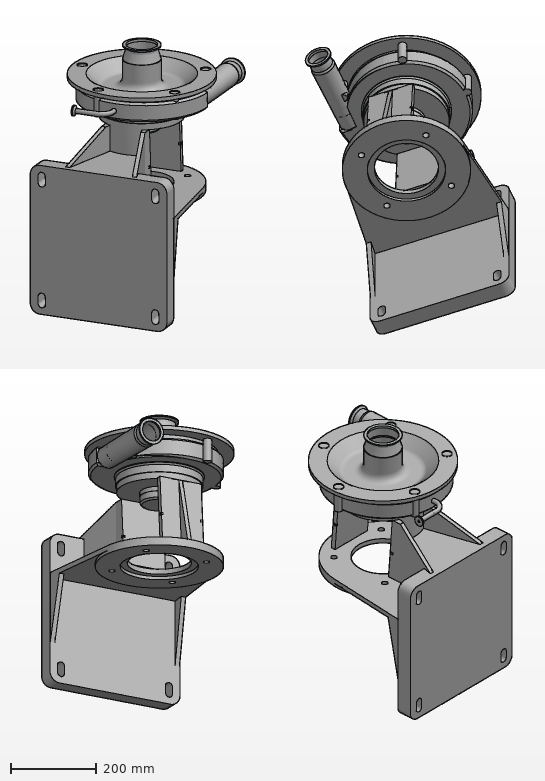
import cadquery as cq
import math


overall_width = 350.0

top_z = 610.5
flange_top_z = 538.5
flange_thickness = 10.0
flange_bottom_z = flange_top_z - flange_thickness
casing_top_z = 521.0
casing_bottom_z = 474.0
casing_chamfer = 5.5
port_z = 497.0
hub_bottom_z = 433.5
shelf_top_z = 270.5
stub_bottom_z = 403.0

flange_radius = overall_width / 2
cover_radius = 139.0
volute_start_radius = 137.0
volute_growth = 32.0
hub_radius = 102.5
hub_lower_radius = 100.0
hub_step_z = 449.5

bowl_radius = 130.5
bowl_lip = 2.5
bowl_floor_radius = 91.0
bowl_floor_z = 508.0
bowl_wall_angle = math.radians(42.2)
inlet_radius = 46.0
inlet_root_fillet = 20.0
inlet_neck_radius = 38.5
inlet_bore_radius = 37.0
inlet_wall = 2.0
inlet_floor_z = 488.5
reducer_bottom_z = 574.5
reducer_top_z = 597.0
bore_step_z = 583.5

bolt_count = 5
bolt_circle_radius = 152.5
bolt_radius = 10.5
bolt_hole_radius = 12.0
bolt_recess = 2.5

discharge_x = 140.0
discharge_end_y = 210.5
discharge_root_radius = 27.0
discharge_radius = 29.0
discharge_neck_radius = 27.0
discharge_ferrule_radius = 32.0
discharge_bore_radius = 24.5
discharge_bore_depth = 171.0

drain_radius = 6.0
drain_bore_radius = 3.0
drain_bore_depth = 49.0
drain_bend_radius = 28.0
drain_y = -196.5
drain_end_x = -88.5
drain_ferrule_radius = 13.0
drain_ferrule_thickness = 3.5
drain_ferrule_cone = 3.5

foot_height = 369.5
foot_front_y = -250.0
foot_thickness = 40.0
foot_back_y = foot_front_y + foot_thickness
foot_corner_radius = 25.0
slot_width = 18.5
slot_length = 36.0
slot_x = 145.0
slot_inset_z = 35.0
shelf_thickness = 12.0
shelf_radius = 150.0
shelf_end_half_width = 174.0
disc_thickness = 20.0
motor_hole_radius = 75.0
spigot_radius = 91.5
spigot_depth = 8.0
motor_bolt_offset = 81.0
motor_bolt_radius = 7.5
gusset_length = 36.0
gusset_foot_z = 99.0

lantern_half_width = 55.5
lantern_height = hub_bottom_z - shelf_top_z
front_wall_top_y = -81.0
back_wall_top_y = 89.0
wall_lean = 12.0
back_wall_thickness = 12.0
back_rib_foot_y = 143.5
rib_thickness = 10.5
rib_angle = math.radians(15.3)
rib_start_y = -107.0
rib_end_y = -235.5
notch_width = 8.0
notch_height = 5.0
notch_depth = 5.0
notch_z = 339.5


def cylinder(radius, bottom_z, upper_z, x=0.0, y=0.0):
    """Upright cylinder between two levels."""
    return cq.Workplane("XY", origin=(x, y, bottom_z)).circle(radius).extrude(upper_z - bottom_z)


def turned(points):
    """Solid of revolution about Z from (radius, z) points."""
    return cq.Workplane("XZ").polyline(points).close().revolve(360, (0, 0, 0), (0, 1, 0))


def prism_yz(points, half_width):
    """Prism along X, symmetric about the YZ plane."""
    return cq.Workplane("YZ").polyline(points).close().extrude(half_width, both=True)


def volute_point(turn):
    radius = volute_start_radius + volute_growth * turn
    angle = 2 * math.pi * turn
    return (radius * math.cos(angle), radius * math.sin(angle))


def make_volute():
    """Spiral body made of four arcs, growing counter-clockwise from +X."""
    outline = cq.Workplane("XY", origin=(0, 0, casing_bottom_z)).moveTo(*volute_point(0))
    for quarter in range(4):
        outline = outline.threePointArc(
            volute_point((quarter + 0.5) / 4), volute_point((quarter + 1) / 4)
        )
    body = outline.close().extrude(casing_top_z - casing_bottom_z)
    return body.faces("|Z").edges().chamfer(casing_chamfer)


def make_hub():
    """Stepped hub below the casing with the shaft stub under it."""
    collar_step = 3.0
    collar_height = 2.0
    collar_cone_height = 4.0
    collar_radius = hub_radius + collar_step
    collar_bottom_z = casing_bottom_z - collar_height
    collar_cone_z = collar_bottom_z - collar_cone_height
    stub_radius = 46.0
    stub_end_radius = 45.0
    stub_step_z = 422.5
    stub_chamfer = 4.0
    return turned([
        (0, casing_bottom_z + casing_chamfer),
        (collar_radius, casing_bottom_z + casing_chamfer),
        (collar_radius, collar_bottom_z),
        (hub_radius, collar_cone_z),
        (hub_radius, hub_step_z),
        (hub_lower_radius, hub_step_z),
        (hub_lower_radius, hub_bottom_z),
        (stub_radius, hub_bottom_z),
        (stub_radius, stub_step_z),
        (stub_end_radius, stub_step_z),
        (stub_end_radius, stub_bottom_z + stub_chamfer),
        (stub_end_radius - stub_chamfer, stub_bottom_z),
        (0, stub_bottom_z),
    ])


def make_bowl_cut():
    """Dished recess in the cover, leaving the inlet pipe standing in the middle."""
    lip_z = flange_top_z - bowl_lip
    cone_radius = bowl_radius - bowl_lip
    corner_radius = cone_radius - (lip_z - bowl_floor_z) / math.tan(bowl_wall_angle)
    tangent = corner_radius - bowl_floor_radius
    arc_radius = tangent / math.tan(bowl_wall_angle / 2)
    blend_end = (
        corner_radius + tangent * math.cos(bowl_wall_angle),
        bowl_floor_z + tangent * math.sin(bowl_wall_angle),
    )
    blend_mid = (
        bowl_floor_radius + arc_radius * math.sin(bowl_wall_angle / 2),
        bowl_floor_z + arc_radius * (1 - math.cos(bowl_wall_angle / 2)),
    )
    root_mid_offset = inlet_root_fillet * (1 - math.sqrt(0.5))
    profile = (
        cq.Workplane("XZ")
        .moveTo(inlet_radius, flange_top_z)
        .lineTo(inlet_radius, bowl_floor_z + inlet_root_fillet)
        .threePointArc(
            (inlet_radius + root_mid_offset, bowl_floor_z + root_mid_offset),
            (inlet_radius + inlet_root_fillet, bowl_floor_z),
        )
        .lineTo(bowl_floor_radius, bowl_floor_z)
        .threePointArc(blend_mid, blend_end)
        .lineTo(cone_radius, lip_z)
        .lineTo(bowl_radius, flange_top_z)
        .close()
    )
    return profile.revolve(360, (0, 0, 0), (0, 1, 0))


def make_inlet():
    """Inlet pipe above the flange: straight pipe, reducer, neck and clamp ferrule."""
    ferrule_radius = 45.0
    ferrule_rim = 3.0
    ferrule_bottom_z = 604.0
    return turned([
        (0, flange_bottom_z),
        (inlet_radius, flange_bottom_z),
        (inlet_radius, reducer_bottom_z),
        (inlet_neck_radius, reducer_top_z),
        (inlet_neck_radius, ferrule_bottom_z),
        (ferrule_radius, top_z - ferrule_rim),
        (ferrule_radius, top_z),
        (0, top_z),
    ])


def make_inlet_bore():
    """Blind bore that widens inside the reducer."""
    wide_radius = inlet_radius - inlet_wall
    return turned([
        (0, inlet_floor_z),
        (wide_radius, inlet_floor_z),
        (wide_radius, reducer_bottom_z),
        (inlet_bore_radius, bore_step_z),
        (inlet_bore_radius, top_z),
        (0, top_z),
    ])


def bolt_places():
    for index in range(bolt_count):
        angle = math.pi + 2 * math.pi * index / bolt_count
        yield (bolt_circle_radius * math.cos(angle), bolt_circle_radius * math.sin(angle))


def along_discharge(solid):
    """Place a solid turned about Z so that its Z runs along the discharge pipe."""
    return solid.rotate((0, 0, 0), (1, 0, 0), -90).translate((discharge_x, 0, port_z))


def make_discharge():
    """Slightly flared pipe with a stepped neck and a clamp ferrule."""
    ferrule_rim_y = 207.0
    ferrule_root_y = 202.5
    step_radius = 26.0
    step_outer_y = 198.0
    step_inner_y = 193.0
    neck_end_y = 184.5
    pipe_end_y = 178.0
    return along_discharge(turned([
        (0, 0),
        (discharge_root_radius, 0),
        (discharge_radius, pipe_end_y),
        (discharge_neck_radius, neck_end_y),
        (discharge_neck_radius, step_inner_y),
        (step_radius, step_outer_y),
        (step_radius, ferrule_root_y),
        (discharge_ferrule_radius, ferrule_rim_y),
        (discharge_ferrule_radius, discharge_end_y),
        (0, discharge_end_y),
    ]))


def make_discharge_bore():
    bore_start_y = discharge_end_y - discharge_bore_depth
    return along_discharge(cylinder(discharge_bore_radius, bore_start_y, discharge_end_y))


def make_drain():
    """Bent tube leaving the casing along -Y and turning to -X, with a small ferrule."""
    tube_start = (drain_end_x + drain_ferrule_thickness, drain_y)
    bend_start_x = -drain_bend_radius
    bend_end_y = drain_y + drain_bend_radius
    bend_middle = (
        bend_start_x + drain_bend_radius * math.sin(math.pi / 4),
        bend_end_y - drain_bend_radius * math.cos(math.pi / 4),
    )
    path = (
        cq.Workplane("XY", origin=(0, 0, port_z))
        .moveTo(*tube_start)
        .lineTo(bend_start_x, drain_y)
        .threePointArc(bend_middle, (0, bend_end_y))
        .lineTo(0, -volute_start_radius)
    )
    start = cq.Workplane("YZ", origin=(*tube_start, port_z))
    tube = start.circle(drain_radius).sweep(path)
    end = cq.Workplane("YZ", origin=(drain_end_x, drain_y, port_z))
    disc = end.circle(drain_ferrule_radius).extrude(drain_ferrule_thickness)
    cone = (
        start.circle(drain_ferrule_radius)
        .workplane(offset=drain_ferrule_cone)
        .circle(drain_radius)
        .loft(combine=True)
    )
    bore = end.circle(drain_bore_radius).extrude(drain_bore_depth)
    return tube.union(disc).union(cone).cut(bore)


side_angle = math.atan2(shelf_end_half_width, -foot_back_y) - math.asin(
    shelf_radius / math.hypot(shelf_end_half_width, foot_back_y)
)


def shelf_half_width(y):
    return shelf_end_half_width - math.tan(side_angle) * (y - foot_back_y)


def make_foot():
    """Upright plate with rounded corners and four vertical slots."""
    thickness_mid_y = foot_front_y + foot_thickness / 2
    plate = (
        cq.Workplane("XY")
        .box(overall_width, foot_thickness, foot_height)
        .edges("|Y")
        .fillet(foot_corner_radius)
        .translate((0, thickness_mid_y, foot_height / 2))
    )
    slot_z = foot_height / 2 - slot_inset_z
    slots = (
        cq.Workplane("XZ", origin=(0, foot_back_y, foot_height / 2))
        .pushPoints([(x, z) for x in (-slot_x, slot_x) for z in (-slot_z, slot_z)])
        .slot2D(slot_length, slot_width, 90)
        .extrude(foot_thickness)
    )
    return plate.cut(slots)


def make_shelf():
    """Tapered plate behind the foot, carrying the thicker motor disc."""
    tangent_x = shelf_radius * math.cos(side_angle)
    tangent_y = shelf_radius * math.sin(side_angle)
    plate = (
        cq.Workplane("XY", origin=(0, 0, shelf_top_z - shelf_thickness))
        .polyline([
            (-shelf_end_half_width, foot_back_y),
            (shelf_end_half_width, foot_back_y),
            (tangent_x, tangent_y),
            (-tangent_x, tangent_y),
        ])
        .close()
        .extrude(shelf_thickness)
    )
    return plate.union(cylinder(shelf_radius, shelf_top_z - disc_thickness, shelf_top_z))


def make_motor_holes():
    """Centre hole with a spigot recess below it, and four bolt holes around it."""
    bottom_z = shelf_top_z - disc_thickness
    holes = cylinder(motor_hole_radius, bottom_z, shelf_top_z)
    holes = holes.union(cylinder(spigot_radius, bottom_z, bottom_z + spigot_depth))
    for x in (-motor_bolt_offset, motor_bolt_offset):
        for y in (-motor_bolt_offset, motor_bolt_offset):
            holes = holes.union(cylinder(motor_bolt_radius, bottom_z, shelf_top_z, x, y))
    return holes


def make_gusset():
    """Triangular web under the +X side of the shelf, flush with its slanted side."""
    tip_y = foot_back_y + gusset_length
    height = shelf_top_z - gusset_foot_z
    strip = (
        cq.Workplane("XY", origin=(0, 0, gusset_foot_z))
        .polyline([
            (shelf_half_width(foot_back_y), foot_back_y),
            (shelf_half_width(tip_y), tip_y),
            (shelf_half_width(tip_y) - shelf_thickness, tip_y),
            (shelf_half_width(foot_back_y) - shelf_thickness, foot_back_y),
        ])
        .close()
        .extrude(height)
    )
    triangle = prism_yz([
        (foot_back_y, gusset_foot_z),
        (tip_y, shelf_top_z - shelf_thickness),
        (tip_y, shelf_top_z),
        (foot_back_y, shelf_top_z),
    ], overall_width)
    return strip.intersect(triangle)


def make_rib():
    """Slanted +X rib from the front wall down onto the top of the foot."""
    spread = math.tan(rib_angle)
    rib_width_x = rib_thickness / math.cos(rib_angle)

    def outer_x(y):
        return lantern_half_width + spread * (rib_start_y - y)

    inner_meet_y = -math.sqrt(hub_lower_radius**2 - lantern_half_width**2)
    strip = (
        cq.Workplane("XY", origin=(0, 0, shelf_top_z))
        .polyline([
            (lantern_half_width, rib_start_y),
            (outer_x(rib_end_y), rib_end_y),
            (outer_x(rib_end_y) - rib_width_x, rib_end_y),
            (outer_x(inner_meet_y) - rib_width_x, inner_meet_y),
            (lantern_half_width, inner_meet_y),
        ])
        .close()
        .extrude(lantern_height)
    )
    slope = prism_yz([
        (inner_meet_y, shelf_top_z),
        (inner_meet_y, hub_bottom_z),
        (rib_start_y, hub_bottom_z),
        (rib_end_y, foot_height),
        (foot_back_y, foot_height),
        (foot_back_y, shelf_top_z),
    ], overall_width)
    return strip.intersect(slope)


def make_infill():
    """Block between the ribs, level with the top of the foot."""
    spread = math.tan(rib_angle)
    start_y = front_wall_top_y
    start_x = lantern_half_width - rib_thickness / 2
    end_x = start_x + spread * (rib_start_y - foot_back_y)
    block = (
        cq.Workplane("XY", origin=(0, 0, shelf_top_z))
        .polyline([
            (-start_x, start_y),
            (-start_x, rib_start_y),
            (-end_x, foot_back_y),
            (end_x, foot_back_y),
            (start_x, rib_start_y),
            (start_x, start_y),
        ])
        .close()
        .extrude(foot_height - shelf_top_z)
    )
    return block.cut(cylinder(hub_lower_radius, shelf_top_z, hub_bottom_z))


def make_front_wall():
    """Wall with a round front that matches the hub and a flat leaning back."""
    slab = prism_yz([
        (-hub_radius, shelf_top_z),
        (-hub_radius, hub_bottom_z),
        (front_wall_top_y, hub_bottom_z),
        (front_wall_top_y + wall_lean, shelf_top_z),
    ], lantern_half_width)
    return slab.intersect(cylinder(hub_lower_radius, shelf_top_z, hub_bottom_z))


def make_back_wall():
    """Leaning flat wall with one triangular rib behind it."""
    foot_y = back_wall_top_y + wall_lean
    outer_top_y = back_wall_top_y + back_wall_thickness
    wall = prism_yz([
        (back_wall_top_y, hub_bottom_z),
        (outer_top_y, hub_bottom_z),
        (foot_y + back_wall_thickness, shelf_top_z),
        (foot_y, shelf_top_z),
    ], lantern_half_width)
    rib = prism_yz([
        (back_wall_top_y, hub_bottom_z),
        (outer_top_y, hub_bottom_z),
        (back_rib_foot_y, shelf_top_z),
        (foot_y, shelf_top_z),
    ], rib_thickness / 2)
    return wall.union(rib)


def make_notches():
    """Small blind notches in the side edges of both lantern walls."""
    lean_at_notch = wall_lean * (hub_bottom_z - notch_z) / lantern_height
    front_y = front_wall_top_y + lean_at_notch - notch_width / 2
    back_y = back_wall_top_y + lean_at_notch + back_wall_thickness / 2
    middle_x = lantern_half_width - notch_depth / 2
    return (
        cq.Workplane("XY", origin=(0, 0, notch_z))
        .pushPoints([(x, y) for x in (-middle_x, middle_x) for y in (front_y, back_y)])
        .box(notch_depth, notch_width, notch_height)
    )


pump = make_volute()
pump = pump.union(cylinder(cover_radius, casing_bottom_z, flange_bottom_z))
pump = pump.union(cylinder(flange_radius, flange_bottom_z, flange_top_z))
for bolt_x, bolt_y in bolt_places():
    pump = pump.union(cylinder(bolt_radius, casing_bottom_z, flange_top_z, bolt_x, bolt_y))
    pump = pump.cut(
        cylinder(bolt_hole_radius, flange_top_z - bolt_recess, flange_top_z, bolt_x, bolt_y)
    )
pump = pump.union(make_hub()).union(make_discharge()).union(make_drain())
pump = pump.cut(make_bowl_cut()).union(make_inlet())
pump = pump.cut(make_inlet_bore()).cut(make_discharge_bore())

bracket = make_foot().union(make_shelf())
for side in (make_gusset(), make_rib()):
    bracket = bracket.union(side).union(side.mirror("YZ"))
bracket = bracket.cut(make_motor_holes())
bracket = bracket.union(make_infill()).union(make_front_wall()).union(make_back_wall()).cut(make_notches())

result = pump.union(bracket)